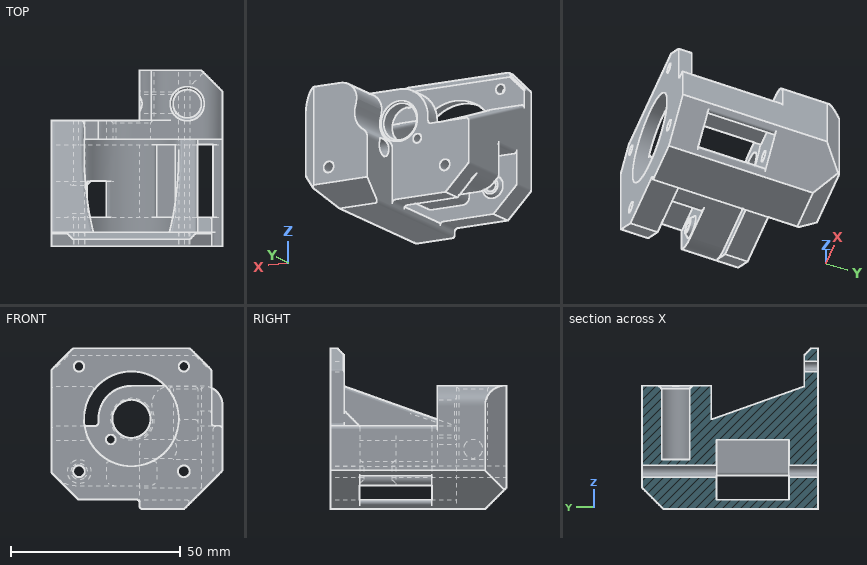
import math

import cadquery as cq


side_half = 23.7
right_x = 27.0
top_z = 20.9
bottom_z = -26.7
left_bottom_z = -23.85
block_back_y = 52.12
edge_round = 0.95

plate_back_y = 4.15
top_corner_cut = 6.45
left_corner_cut = 7.95
right_corner_cut = 11.45
bottom_step_x = 2.35
top_edge_chamfer = 2.1
diagonal_chamfer = 0.4
screw_offset = 15.5
top_screw_d = 3.0
bottom_screw_d = 3.4
motor_bore_r = 14.0

housing_back_y = 37.2
bore_end_y = 31.6
shoulder_z = -2.1
slope_start_z = 9.66
housing_right_x = 19.6
arm_top_z = 9.8
shaft_hole_d = 11.2
shaft_hole_chamfer = 0.6
pin_offset = 6.1
pin_hole_d = 2.8
gusset_round = 0.5

slot_front_y = 8.65
slot_back_y = 30.05
left_slot_back_y = 19.3
slot_top_z = -6.3
shell_wall = 2.9
screw_boss_round = 8.0
web_half = 7.5
web_bottom_z = -19.7
web_bottom_round = 2.2

seat_base_r = 3.5
seat_tip_r = 2.4
seat_height = 1.2

block_left_x = bottom_step_x
block_corner_cut = 6.4
block_corner_r = 5.9
block_shoulder_x = 11.5
shaft_clear_r = 6.67
lower_blend_z = -8.0
feed_x = 16.5
feed_y = 42.15
feed_d = 8.4
feed_countersink_d = 10.1
feed_bottom_z = -12.0
side_hole_z = -8.8
side_hole_d = 5.6

beyond = 60.0


def profile(y):
    """Workplane in X and Z at depth y."""
    return cq.Workplane("XZ", origin=(0, y, 0))


def prism(outline, length):
    """Extrude a closed X-Z outline toward +Y."""
    return outline.close().extrude(-length)


def box(x0, x1, y0, y1, z0, z1):
    return cq.Workplane("XY").box(x1 - x0, y1 - y0, z1 - z0, centered=False).translate((x0, y0, z0))


def hole_along_y(x, z, diameter, y0, y1):
    return profile(y0).center(x, z).circle(diameter / 2).extrude(y0 - y1)


def edge_box(x, z):
    """Selector for the edges near an X-Z position, at any depth."""
    reach = 0.3
    return cq.selectors.BoxSelector((x - reach, -beyond, z - reach), (x + reach, beyond, z + reach))


def shell_blank(length):
    """Full plate outline with sharp corners, extruded back from the motor face."""
    outline = (
        profile(0)
        .moveTo(-side_half, left_bottom_z + left_corner_cut)
        .lineTo(-side_half, top_z - top_corner_cut)
        .lineTo(-side_half + top_corner_cut, top_z)
        .lineTo(side_half - top_corner_cut, top_z)
        .lineTo(side_half, top_z - top_corner_cut)
        .lineTo(side_half, shoulder_z)
        .lineTo(right_x, shoulder_z)
        .lineTo(right_x, bottom_z + right_corner_cut)
        .lineTo(right_x - right_corner_cut, bottom_z)
        .lineTo(bottom_step_x, bottom_z)
        .lineTo(bottom_step_x, left_bottom_z)
        .lineTo(-side_half + left_corner_cut, left_bottom_z)
    )
    return prism(outline, length)


def round_shell_corners(blank):
    corners = (
        edge_box(bottom_step_x, left_bottom_z)
        + edge_box(bottom_step_x, bottom_z)
        + edge_box(side_half, shoulder_z)
        + edge_box(right_x, shoulder_z)
        + edge_box(-side_half, left_bottom_z + left_corner_cut)
    )
    for side in (-1, 1):
        corners += edge_box(side * side_half, top_z - top_corner_cut)
        corners += edge_box(side * (side_half - top_corner_cut), top_z)
    return blank.edges("|Y").edges(corners).fillet(edge_round)


def motor_plate():
    """Plate with the top back edge bevelled and a small bevel behind the upper diagonals."""
    plate = shell_blank(plate_back_y)
    top_bevel = (
        cq.Workplane("YZ", origin=(-beyond, 0, 0))
        .moveTo(plate_back_y, top_z - top_edge_chamfer)
        .lineTo(plate_back_y, top_z)
        .lineTo(plate_back_y - top_edge_chamfer, top_z)
        .close()
        .extrude(2 * beyond)
    )
    mid_x = side_half - top_corner_cut / 2
    mid_z = top_z - top_corner_cut / 2
    diagonals = edge_box(-mid_x, mid_z) + edge_box(mid_x, mid_z)
    plate = plate.faces(">Y").edges(diagonals).chamfer(diagonal_chamfer)
    return round_shell_corners(plate).cut(top_bevel)


def housing():
    """Lower shell plus the walls that slope from the plate down to the back wall."""
    wall_foot_z = shoulder_z - 2 * edge_round
    below_walls = box(-beyond, beyond, 0, housing_back_y, -beyond, wall_foot_z)
    below_shoulder = box(edge_round - side_half, beyond, 0, housing_back_y, -beyond, shoulder_z)
    blank = round_shell_corners(shell_blank(housing_back_y))
    lower = blank.intersect(below_walls.union(below_shoulder))
    walls = (
        cq.Workplane("YZ", origin=(-side_half, 0, 0))
        .moveTo(plate_back_y, wall_foot_z)
        .lineTo(plate_back_y, slope_start_z)
        .lineTo(housing_back_y, shoulder_z)
        .lineTo(housing_back_y, wall_foot_z)
        .close()
        .extrude(side_half + housing_right_x)
        .edges("not (|X or |Y or |Z)")
        .fillet(edge_round)
    )
    return lower.union(walls)


def motor_bore():
    """Main bore; over the shoulder it runs on through the back wall."""
    bore = profile(0).circle(motor_bore_r).extrude(-bore_end_y)
    through = profile(0).circle(motor_bore_r).extrude(-housing_back_y)
    over_shoulder = through.intersect(box(-beyond, beyond, 0, beyond, shoulder_z, beyond))
    return bore.union(over_shoulder)


def back_wall():
    """Upper part of the back wall: round around the shaft, flat toward the block."""
    half_chord = arm_top_z / math.sqrt(2)
    outline = (
        profile(bore_end_y)
        .moveTo(-side_half + edge_round, shoulder_z - edge_round)
        .lineTo(-side_half + edge_round, shoulder_z)
        .lineTo(-arm_top_z - edge_round, shoulder_z)
        .radiusArc((-arm_top_z, shoulder_z + edge_round), -edge_round)
        .lineTo(-arm_top_z, 0)
        .threePointArc((-half_chord, half_chord), (0, arm_top_z))
        .lineTo(right_x - block_corner_r, arm_top_z)
        .radiusArc((right_x, arm_top_z - block_corner_r), block_corner_r)
        .lineTo(right_x, shoulder_z - edge_round)
    )
    return prism(outline, housing_back_y - bore_end_y)


def feeder_block():
    """Block behind the back wall, hollowed around the shaft on its left side."""
    upper_r = (block_shoulder_x**2 + arm_top_z**2 - shaft_clear_r**2) / (2 * (arm_top_z + shaft_clear_r))
    upper_z = arm_top_z - upper_r
    upper_scale = shaft_clear_r / (shaft_clear_r + upper_r)
    lower_r = (block_left_x**2 + lower_blend_z**2 - shaft_clear_r**2) / (2 * (shaft_clear_r - block_left_x))
    lower_x = block_left_x + lower_r
    lower_scale = shaft_clear_r / (shaft_clear_r + lower_r)
    outline = (
        profile(housing_back_y)
        .moveTo(block_left_x, bottom_z + edge_round)
        .lineTo(block_left_x, lower_blend_z)
        .radiusArc((lower_x * lower_scale, lower_blend_z * lower_scale), lower_r)
        .radiusArc((block_shoulder_x * upper_scale, upper_z * upper_scale), -shaft_clear_r)
        .lineTo(block_shoulder_x - upper_r, upper_z)
        .radiusArc((block_shoulder_x, arm_top_z), upper_r)
        .lineTo(right_x - block_corner_r, arm_top_z)
        .radiusArc((right_x, arm_top_z - block_corner_r), block_corner_r)
        .lineTo(right_x, bottom_z + right_corner_cut)
        .lineTo(right_x - right_corner_cut, bottom_z)
        .lineTo(block_left_x + edge_round, bottom_z)
        .radiusArc((block_left_x, bottom_z + edge_round), edge_round)
    )
    block = prism(outline, block_back_y - housing_back_y)
    side_corner = (
        cq.Workplane("XY", origin=(0, 0, -beyond))
        .moveTo(right_x, block_back_y - block_corner_cut)
        .lineTo(right_x, block_back_y)
        .lineTo(right_x - block_corner_cut, block_back_y)
        .close()
        .extrude(2 * beyond)
    )
    bottom_corner = (
        cq.Workplane("YZ", origin=(-beyond, 0, 0))
        .moveTo(block_back_y - block_corner_cut, bottom_z)
        .lineTo(block_back_y, bottom_z)
        .lineTo(block_back_y, bottom_z + block_corner_cut)
        .close()
        .extrude(2 * beyond)
    )
    return block.cut(side_corner).cut(bottom_corner)


def feed_holes():
    """Blind countersunk feed hole from above, met by a hole from the left side."""
    countersink = (feed_countersink_d - feed_d) / 2
    feed = (
        cq.Workplane("XZ", origin=(feed_x, feed_y, 0))
        .moveTo(0, feed_bottom_z)
        .lineTo(feed_d / 2, feed_bottom_z)
        .lineTo(feed_d / 2, arm_top_z - countersink)
        .lineTo(feed_countersink_d / 2, arm_top_z)
        .lineTo(0, arm_top_z)
        .close()
        .revolve(360, (0, 0, 0), (0, 1, 0))
    )
    side_hole = (
        cq.Workplane("YZ")
        .center(feed_y, side_hole_z)
        .circle(side_hole_d / 2)
        .extrude(feed_x)
    )
    return feed.union(side_hole)


def slot_side(side, mouth_x, back_y):
    """Slot beside the central web; its edges at the bore and at the outer mouth are rounded."""
    lip_centre_r = motor_bore_r + edge_round
    touch = motor_bore_r / lip_centre_r
    lip_x = web_half - edge_round
    lip_z = -math.sqrt(lip_centre_r**2 - lip_x**2)
    top_lip_z = slot_top_z + edge_round
    top_lip_x = math.sqrt(lip_centre_r**2 - top_lip_z**2)
    outline = (
        profile(slot_front_y)
        .moveTo(side * lip_x * touch, top_lip_z * touch)
        .lineTo(side * lip_x * touch, lip_z * touch)
        .radiusArc((side * web_half, lip_z), side * edge_round)
        .lineTo(side * web_half, web_bottom_z + web_bottom_round)
        .radiusArc((side * (web_half - web_bottom_round), web_bottom_z), side * web_bottom_round)
        .lineTo(side * mouth_x, web_bottom_z)
        .lineTo(side * mouth_x, top_lip_z)
        .radiusArc((side * (mouth_x - edge_round), slot_top_z), side * edge_round)
        .lineTo(side * top_lip_x, slot_top_z)
        .radiusArc((side * top_lip_x * touch, top_lip_z * touch), side * edge_round)
    )
    return prism(outline, back_y - slot_front_y)


def slots():
    wall_x = right_x - shell_wall
    right = slot_side(1, housing_right_x, slot_back_y)
    beside_housing = box(housing_right_x, wall_x, slot_front_y, slot_back_y, left_bottom_z, beyond)
    under_web = box(-beyond, wall_x, slot_front_y, slot_back_y, left_bottom_z, web_bottom_z)
    lower_left = box(-beyond, bottom_step_x, slot_front_y, slot_back_y, -beyond, web_bottom_z)
    left = slot_side(-1, side_half, left_slot_back_y)
    return right.union(beside_housing).union(under_web).union(lower_left).union(left)


def round_slot_edges(body):
    """Round the long edges that the slots leave on the shell and around the left screw."""
    wall_x = right_x - shell_wall
    diagonal = right_x - right_corner_cut - bottom_z
    shell_edges = (
        edge_box(wall_x, shoulder_z)
        + edge_box(bottom_step_x, left_bottom_z)
        + edge_box(wall_x, wall_x - diagonal)
        + edge_box(diagonal + left_bottom_z, left_bottom_z)
    )
    in_slot = cq.selectors.BoxSelector(
        (-beyond, slot_front_y, -beyond), (beyond, slot_back_y, beyond)
    )
    left_diagonal = left_bottom_z + left_corner_cut - side_half
    boss_edge = edge_box(left_diagonal - web_bottom_z, web_bottom_z)
    body = body.edges("|Y").edges(in_slot).edges(shell_edges).fillet(edge_round)
    return body.edges("|Y").edges(boss_edge).fillet(screw_boss_round)


def round_bore_rim(body):
    """Round the curved edges where the bore breaks through the sloped walls."""
    rim = cq.selectors.BoxSelector(
        (-motor_bore_r, plate_back_y, 0), (motor_bore_r, bore_end_y, slope_start_z)
    )
    return body.edges("%ELLIPSE").edges(rim).fillet(edge_round)


def gusset():
    """Sloped foot between the plate and the right slot, above the shoulder."""
    run = slot_front_y - plate_back_y
    overlap = 2 * edge_round
    return (
        cq.Workplane("YZ", origin=(housing_right_x - overlap, 0, 0))
        .moveTo(plate_back_y, shoulder_z)
        .lineTo(plate_back_y, shoulder_z + run)
        .lineTo(slot_front_y, shoulder_z)
        .close()
        .extrude(side_half - housing_right_x + overlap)
        .faces(">X").edges("not (|Y or |Z)").fillet(gusset_round)
    )


def screw_seats():
    """Truncated cones standing on both end walls of the left slot."""

    def seat(y, direction):
        return (
            cq.Workplane("XY", origin=(-screw_offset, y, -screw_offset))
            .lineTo(seat_base_r, 0)
            .lineTo(seat_tip_r, direction * seat_height)
            .lineTo(0, direction * seat_height)
            .close()
            .revolve(360, (0, 0, 0), (0, 1, 0))
        )

    return seat(slot_front_y, 1).union(seat(left_slot_back_y, -1))


def round_holes():
    holes = hole_along_y(0, 0, shaft_hole_d, 0, block_back_y)
    chamfer = (
        profile(housing_back_y - shaft_hole_chamfer)
        .circle(shaft_hole_d / 2)
        .workplane(offset=-shaft_hole_chamfer)
        .circle(shaft_hole_d / 2 + shaft_hole_chamfer)
        .loft()
    )
    holes = holes.union(chamfer)
    holes = holes.union(hole_along_y(-pin_offset, -pin_offset, pin_hole_d, 0, housing_back_y))
    for side in (-1, 1):
        x = side * screw_offset
        holes = holes.union(hole_along_y(x, screw_offset, top_screw_d, 0, plate_back_y))
        holes = holes.union(hole_along_y(x, -screw_offset, bottom_screw_d, 0, block_back_y))
    return holes


result = motor_plate().union(housing()).union(gusset()).cut(motor_bore())
result = round_bore_rim(result)
result = round_slot_edges(result.cut(slots()))
result = result.union(back_wall()).union(feeder_block()).union(screw_seats())
result = result.cut(round_holes()).cut(feed_holes())